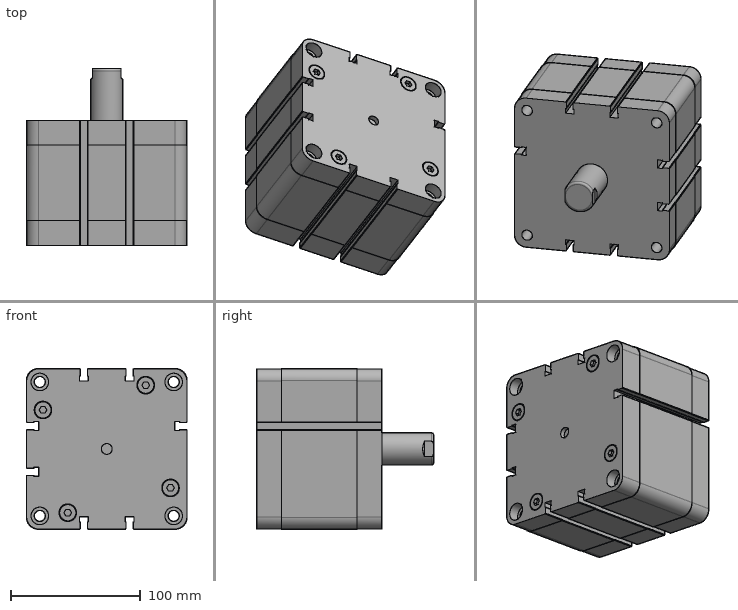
import cadquery as cq
import math

overall_length = 136.5
barrel_width = 124.0
cap_inset = 0.3
cap_width = barrel_width - 2 * cap_inset
corner_radius = 9.3
body_length = 96.5
cap_length = 19.1
barrel_length = body_length - 2 * cap_length

rod_radius = 25.0 / 2
rod_end_fillet = 1.9
flat_half_width = 22.0 / 2
flat_length = 7.1
flat_step = rod_radius - flat_half_width

slot_offset = 17.6
slot_mouth_width = 5.5
slot_mouth_depth = 5.9
slot_bottom_width = 6.7
slot_depth = 9.5
slot_edge_chamfer = 0.5
slots_by_side = [
    (0, [-slot_offset, slot_offset]),
    (90, [-slot_offset, slot_offset]),
    (180, [-slot_offset, slot_offset]),
    (270, [-slot_offset]),
]

mount_offset = 51.6
mount_hole_diameter = 8.3
mount_counterbore_diameter = 13.5
mount_counterbore_depth = 8.9

screw_offset_near = 30.0
screw_offset_far = 49.1
screw_recess_diameter = 13.5
screw_head_diameter = 12.5
screw_recess_depth = 5.5
socket_across_flats = 5.0
socket_across_corners = socket_across_flats / math.cos(math.pi / 6)
socket_depth = 2.9

center_hole_diameter = 8.3
center_hole_depth = 4.0


def plane_at(y):
    """Workplane at the given y, facing +Y, with local x along -X and local y along Z."""
    return cq.Workplane("XZ", origin=(0, y, 0)).transformed(rotate=(0, 180, 0))


def rear_cylinders(diameter, depth, points):
    """Cylinders going from the rear face into the body."""
    return plane_at(0).pushPoints(points).circle(diameter / 2).extrude(depth)


def slot_cutter(width, length, y_start):
    """Slot in the +Z side of a section, centered on x = 0."""
    surface = width / 2
    floor = barrel_width / 2 - slot_depth
    ledge = barrel_width / 2 - slot_mouth_depth
    half_mouth = slot_mouth_width / 2
    half_bottom = slot_bottom_width / 2
    half_edge = half_mouth + slot_edge_chamfer
    half_profile = [
        (half_bottom, floor),
        (half_bottom, ledge),
        (half_mouth, ledge),
        (half_mouth, surface - slot_edge_chamfer),
        (half_edge, surface),
    ]
    mirrored = [(-x, z) for x, z in reversed(half_profile)]
    return plane_at(y_start).polyline(half_profile + mirrored).close().extrude(length)


def make_section(width, length, y_start):
    """Rounded square section of the body with its sensor slots."""
    section = plane_at(y_start).rect(width, width).extrude(length).edges("|Y").fillet(corner_radius)
    slot = slot_cutter(width, length, y_start)
    for angle, offsets in slots_by_side:
        for offset in offsets:
            section = section.cut(slot.translate((offset, 0, 0)).rotate((0, 0, 0), (0, -1, 0), angle))
    return section


def make_body():
    rear_cap = make_section(cap_width, cap_length, 0)
    barrel = make_section(barrel_width, barrel_length, cap_length)
    front_cap = make_section(cap_width, cap_length, cap_length + barrel_length)
    return rear_cap.union(barrel).union(front_cap)


def make_rod():
    rod = plane_at(body_length).circle(rod_radius).extrude(overall_length - body_length)
    rod = rod.faces(">Y").edges().fillet(rod_end_fillet)
    flat_start = overall_length - flat_length
    half_outline = [
        (rod_radius, body_length),
        (rod_radius, flat_start - flat_step),
        (flat_half_width, flat_start),
        (flat_half_width, overall_length),
    ]
    mirrored = [(-x, y) for x, y in reversed(half_outline)]
    inside_flats = cq.Workplane("XY").polyline(half_outline + mirrored).close().extrude(rod_radius, both=True)
    return rod.intersect(inside_flats)


def cut_mounting_holes(part):
    points = [(x, z) for x in (-mount_offset, mount_offset) for z in (-mount_offset, mount_offset)]
    holes = rear_cylinders(mount_hole_diameter, body_length, points)
    counterbores = rear_cylinders(mount_counterbore_diameter, mount_counterbore_depth, points)
    return part.cut(holes).cut(counterbores)


def cut_screws(part):
    """Gap around each screw head, and its hexagon socket."""
    points = [
        (-screw_offset_near, screw_offset_far),
        (screw_offset_far, screw_offset_near),
        (screw_offset_near, -screw_offset_far),
        (-screw_offset_far, -screw_offset_near),
    ]
    recesses = rear_cylinders(screw_recess_diameter, screw_recess_depth, points)
    heads = rear_cylinders(screw_head_diameter, screw_recess_depth, points)
    sockets = plane_at(0).pushPoints(points).polygon(6, socket_across_corners).extrude(socket_depth)
    return part.cut(recesses.cut(heads)).cut(sockets)


result = make_body().union(make_rod())
result = cut_mounting_holes(result)
result = cut_screws(result)
result = result.cut(rear_cylinders(center_hole_diameter, center_hole_depth, [(0, 0)]))